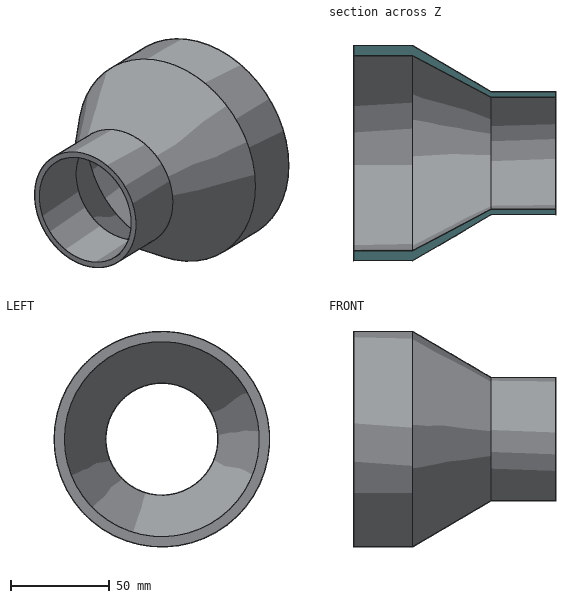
import cadquery as cq

wide_outer_diameter = 110.0
wide_bore_diameter = 99.4
narrow_outer_diameter = 63.0
narrow_bore_diameter = 57.0

wide_length = 30.0
cone_length = 40.0
narrow_length = 33.0

cone_start = wide_length
cone_end = cone_start + cone_length
total_length = cone_end + narrow_length


def stepped_cone(wide_diameter, narrow_diameter):
    """Solid of revolution about X: wide cylinder, cone, narrow cylinder."""
    wide_radius = wide_diameter / 2
    narrow_radius = narrow_diameter / 2
    half_profile = (
        cq.Workplane("XY")
        .moveTo(0, 0)
        .lineTo(0, wide_radius)
        .lineTo(cone_start, wide_radius)
        .lineTo(cone_end, narrow_radius)
        .lineTo(total_length, narrow_radius)
        .lineTo(total_length, 0)
        .close()
    )
    return half_profile.revolve(360, (0, 0, 0), (1, 0, 0))


outer_body = stepped_cone(wide_outer_diameter, narrow_outer_diameter)
through_bore = stepped_cone(wide_bore_diameter, narrow_bore_diameter)

result = outer_body.cut(through_bore)